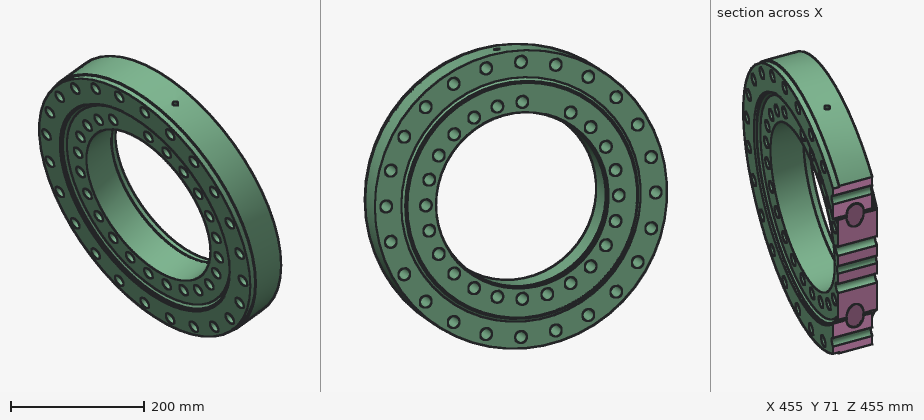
import cadquery as cq
import math

total_width = 71.0
ring_offset = 7.7
ring_width = total_width - ring_offset
mid_plane = total_width / 2
spigot_width = 10.0

outer_radius = 227.5
bore_radius = 132.5
spigot_step = 2.0
ring_gap = 2.5
race_radius = 180.0
inner_ring_radius = race_radius - ring_gap / 2
outer_ring_bore = race_radius + ring_gap / 2
ball_radius = 13.5

bolt_diameter = 18.0
bolt_positions = 24
bolt_pitch = 360 / bolt_positions
outer_bolt_radius = 209.8
inner_bolt_radius = 150.0
filler_angle = 105

grease_diameter = 8.0
grease_angles = [82.5, 262.5]

seal_height = 3.5
seal_lip_reach = 5.0
seal_depth = 5.5


def revolve_section(points):
    """Revolve a closed (radius, y) outline around the Y axis."""
    return cq.Workplane("XY").polyline(points).close().revolve(360, (0, 0, 0), (0, 1, 0))


def make_rolling_ring():
    """The rolling elements as one round-section ring."""
    return (
        cq.Workplane("XY")
        .center(race_radius, mid_plane)
        .circle(ball_radius)
        .revolve(360, (-race_radius, 0, 0), (-race_radius, 1, 0))
    )


def bolt_holes(circle_radius, skipped_angle=None):
    """Cutters parallel to Y, evenly spaced on a bolt circle."""
    angles = [i * bolt_pitch for i in range(bolt_positions)]
    centres = [
        (circle_radius * math.cos(math.radians(a)), circle_radius * math.sin(math.radians(a)))
        for a in angles
        if a != skipped_angle
    ]
    return (
        cq.Workplane("XZ")
        .pushPoints(centres)
        .circle(bolt_diameter / 2)
        .extrude(-total_width)
    )


def grease_hole(angle):
    """Radial cutter from the race centre line out past the rim of the outer ring."""
    return (
        cq.Workplane("YZ", origin=(0, mid_plane, 0))
        .workplane(offset=race_radius)
        .circle(grease_diameter / 2)
        .extrude(outer_radius)
        .rotate((0, 0, 0), (0, 1, 0), -angle)
    )


def make_outer_ring():
    spigot_radius = outer_radius - spigot_step
    ring = revolve_section([
        (outer_ring_bore, 0),
        (spigot_radius, 0),
        (spigot_radius, spigot_width),
        (outer_radius, spigot_width),
        (outer_radius, ring_width),
        (outer_ring_bore, ring_width),
    ])
    ring = ring.cut(make_rolling_ring()).cut(bolt_holes(outer_bolt_radius))
    for angle in grease_angles:
        ring = ring.cut(grease_hole(angle))
    return ring


def make_inner_ring():
    relief_radius = bore_radius + spigot_step
    relief_start = total_width - spigot_width
    ring = revolve_section([
        (bore_radius, ring_offset),
        (inner_ring_radius, ring_offset),
        (inner_ring_radius, total_width),
        (relief_radius, total_width),
        (relief_radius, relief_start),
        (bore_radius, relief_start),
    ])
    return ring.cut(make_rolling_ring()).cut(bolt_holes(inner_bolt_radius, filler_angle))


def make_seal(wall_radius, face_radius, face_y, outward):
    """Seal in the ring gap, with a lip sloping down onto the face of the lower ring.

    wall_radius is the wall of the proud ring, face_radius the edge of the lower ring,
    and outward the Y direction (+1 or -1) that the lower ring's face points in.
    """
    toward_face = math.copysign(1, face_radius - wall_radius)
    top_y = face_y + outward * seal_height
    bottom_y = face_y - outward * seal_depth
    return revolve_section([
        (wall_radius, bottom_y),
        (wall_radius, top_y),
        (face_radius, top_y),
        (face_radius + toward_face * seal_lip_reach, face_y),
        (face_radius, face_y),
        (face_radius, bottom_y),
    ])


outer_ring = make_outer_ring()
inner_ring = make_inner_ring()
rolling_ring = make_rolling_ring()
front_seal = make_seal(outer_ring_bore, inner_ring_radius, ring_offset, -1)
back_seal = make_seal(inner_ring_radius, outer_ring_bore, ring_width, 1)

result = cq.Compound.makeCompound([
    outer_ring.val(),
    inner_ring.val(),
    rolling_ring.val(),
    front_seal.val(),
    back_seal.val(),
])